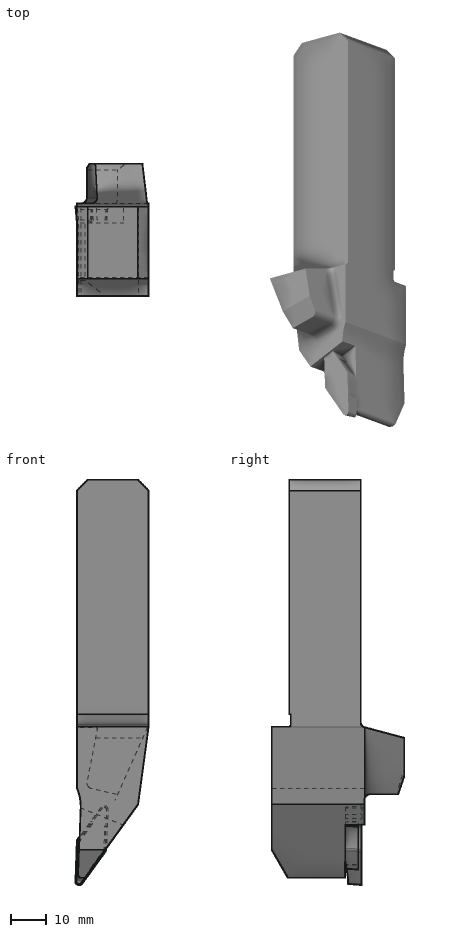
import cadquery as cq
import math


TOTAL_HEIGHT = 113.0
SHANK_SIDE = 20.0
SHANK_FRONT_Y = 4.9
SHANK_BACK_Y = SHANK_FRONT_Y + SHANK_SIDE
TOP_CHAMFER = 3.0
NECK_DEPTH = 0.5
NECK_TOP_Z = 47.6
NECK_FILLET = 0.5

HEAD_TOP_Z = 44.2
HEAD_BACK_Y = 25.9
SHOULDER_SLOPE = 15.0
SHOULDER_Z = 44.3
SHOULDER_FILLET = 1.2
FLANK_BEND_X = 17.1
FLANK_BEND_Z = 22.5
NOSE_ANGLE = 36.0
NOSE_BOTTOM_Z = 2.0
NOSE_ROUNDING = 0.9
UNDERCUT_TOP_Z = 27.0
UNDERCUT_BOTTOM_Z = 21.6
UNDERCUT_DEPTH = 1.0
NOSE_TILT = 2.0
FRONT_BEVEL_Z = 9.8
FRONT_BEVEL_ANGLE = 30.0

BOSS_BACK_Y = 37.0
BOSS_CORNER_X = 2.5
BOSS_CORNER_Z = 27.3
BOSS_LEFT_ANGLE = 11.0
BOSS_BOTTOM_ANGLE = 13.0
BOSS_RIGHT_ANGLE = 24.0
BOSS_RIGHT_TOP_X = 19.7
BOSS_ROUNDING = 1.6
BOSS_BASE_FILLET = 1.6
BOSS_BEVEL_DEPTH = 1.7
BOSS_BEVEL_HEIGHT = 5.4

SEAT_Y = 20.5
CEILING_SLOPE = 22.0
RAKE_Y = 25.1
TIP_RADIUS = 1.07
TIP_X = 0.62
INSERT_SIDE = 14.9
INSERT_DRAFT = 5.0
SIDE_CORNER_RADIUS = 1.2
RIM_THICKNESS = 0.9
RECESS_DEPTH = 0.3
RECESS_LENGTH = 12.7
TIP_RELIEF_DEPTH = 0.8
TIP_RELIEF_START_Z = 6.8


def tan(degrees):
    return math.tan(math.radians(degrees))


def direction(angle):
    """Upward XZ unit direction, leaning right of vertical by the angle."""
    return math.sin(math.radians(angle)), math.cos(math.radians(angle))


def shoulder_z(y):
    """Height of the sloping rear shoulder plane at depth y."""
    return SHOULDER_Z - (y - SHANK_BACK_Y) * tan(SHOULDER_SLOPE)


def extrude_y(outline, y_start, y_end):
    """Place an outline drawn in (x, z) between two depths."""
    return outline.extrude(-(y_end - y_start)).translate((0, y_start, 0))


def front_prism():
    """Shank, head and rounded nose outlined along Y, with the arc of the undercut."""
    nose_left_x = UNDERCUT_DEPTH - (UNDERCUT_BOTTOM_Z - NOSE_BOTTOM_Z) * tan(NOSE_TILT)
    nose_right_x = FLANK_BEND_X - (FLANK_BEND_Z - NOSE_BOTTOM_Z) * tan(NOSE_ANGLE)
    outline = (
        cq.Workplane("XZ")
        .moveTo(0, UNDERCUT_TOP_Z)
        .lineTo(0, TOTAL_HEIGHT - TOP_CHAMFER)
        .lineTo(TOP_CHAMFER, TOTAL_HEIGHT)
        .lineTo(SHANK_SIDE - TOP_CHAMFER, TOTAL_HEIGHT)
        .lineTo(SHANK_SIDE, TOTAL_HEIGHT - TOP_CHAMFER)
        .lineTo(SHANK_SIDE, HEAD_TOP_Z)
        .lineTo(FLANK_BEND_X, FLANK_BEND_Z)
        .lineTo(nose_right_x, NOSE_BOTTOM_Z)
        .lineTo(nose_left_x, NOSE_BOTTOM_Z)
        .lineTo(UNDERCUT_DEPTH, UNDERCUT_BOTTOM_Z)
        .tangentArcPoint((0, UNDERCUT_TOP_Z), relative=False)
        .close()
    )
    nose_corner = (nose_left_x, HEAD_BACK_Y / 2, NOSE_BOTTOM_Z)
    prism = extrude_y(outline, 0, HEAD_BACK_Y)
    return prism.edges(cq.NearestToPointSelector(nose_corner)).fillet(NOSE_ROUNDING)


def side_profile():
    """Outline along X with the neck groove, the front bevel and the rear shoulder."""
    neck_y = SHANK_FRONT_Y + NECK_DEPTH
    bevel_depth = FRONT_BEVEL_Z * tan(FRONT_BEVEL_ANGLE)
    return cq.Workplane("YZ").polyline([
        (0, FRONT_BEVEL_Z),
        (0, HEAD_TOP_Z),
        (neck_y, HEAD_TOP_Z),
        (neck_y, NECK_TOP_Z),
        (SHANK_FRONT_Y, NECK_TOP_Z),
        (SHANK_FRONT_Y, TOTAL_HEIGHT),
        (SHANK_BACK_Y, TOTAL_HEIGHT),
        (SHANK_BACK_Y, SHOULDER_Z),
        (HEAD_BACK_Y, shoulder_z(HEAD_BACK_Y)),
        (HEAD_BACK_Y, 0),
        (bevel_depth, 0),
    ]).close()


def shank_and_head():
    """Common volume of the front and side outlines, with the shank corners filleted."""
    side = side_profile().extrude(SHANK_SIDE)
    neck_corner = (SHANK_SIDE / 2, SHANK_FRONT_Y + NECK_DEPTH, HEAD_TOP_Z)
    side = side.edges(cq.NearestToPointSelector(neck_corner)).fillet(NECK_FILLET)
    shoulder_corner = (SHANK_SIDE / 2, SHANK_BACK_Y, SHOULDER_Z)
    side = side.edges(cq.NearestToPointSelector(shoulder_corner)).fillet(SHOULDER_FILLET)
    return side.intersect(front_prism())


def boss():
    """Wedge-shaped boss with a rounded lower left corner and a bevelled lower back edge."""
    top_z = SHOULDER_Z
    left_top_x = BOSS_CORNER_X + (top_z - BOSS_CORNER_Z) * tan(BOSS_LEFT_ANGLE)
    right_top_x = BOSS_RIGHT_TOP_X + (top_z - HEAD_TOP_Z) * tan(BOSS_RIGHT_ANGLE)
    width_at_corner = right_top_x - (top_z - BOSS_CORNER_Z) * tan(BOSS_RIGHT_ANGLE) - BOSS_CORNER_X
    bottom_run = width_at_corner / (1 + tan(BOSS_BOTTOM_ANGLE) * tan(BOSS_RIGHT_ANGLE))
    outline = cq.Workplane("XZ").polyline([
        (BOSS_CORNER_X, BOSS_CORNER_Z),
        (left_top_x, top_z),
        (right_top_x, top_z),
        (BOSS_CORNER_X + bottom_run, BOSS_CORNER_Z - bottom_run * tan(BOSS_BOTTOM_ANGLE)),
    ]).close()
    body = extrude_y(outline, SEAT_Y, BOSS_BACK_Y)
    corner = (BOSS_CORNER_X, (SEAT_Y + BOSS_BACK_Y) / 2, BOSS_CORNER_Z)
    body = body.edges(cq.NearestToPointSelector(corner)).fillet(BOSS_ROUNDING)

    above_shoulder = cq.Workplane("YZ").polyline([
        (SEAT_Y, shoulder_z(SEAT_Y)),
        (BOSS_BACK_Y, shoulder_z(BOSS_BACK_Y)),
        (BOSS_BACK_Y, TOTAL_HEIGHT),
        (SEAT_Y, TOTAL_HEIGHT),
    ]).close().extrude(SHANK_SIDE)

    rise, run = direction(BOSS_BOTTOM_ANGLE)
    along_bottom = cq.Plane(
        origin=(BOSS_CORNER_X, BOSS_BACK_Y, BOSS_CORNER_Z), xDir=(0, 1, 0), normal=(run, 0, -rise)
    )
    bevel = cq.Workplane(along_bottom).polyline([
        (-BOSS_BEVEL_DEPTH, 0),
        (0, BOSS_BEVEL_HEIGHT),
        (0, 0),
    ]).close().extrude(SHANK_SIDE, both=True)
    return body.cut(above_shoulder).cut(bevel)


def fillet_boss_base(holder):
    """Blend the left, rounded and bottom sides of the boss into the back of the head."""
    base_box = cq.selectors.BoxSelector(
        (UNDERCUT_DEPTH, SEAT_Y, UNDERCUT_BOTTOM_Z),
        (SHANK_SIDE / 2, HEAD_BACK_Y + BOSS_BASE_FILLET, HEAD_TOP_Z - BOSS_BASE_FILLET),
    )
    return holder.edges(base_box).fillet(BOSS_BASE_FILLET)


def seat_cutter():
    """Space behind the seat plane and below the clamping finger, open to the back."""
    start_z = UNDERCUT_BOTTOM_Z + UNDERCUT_DEPTH * tan(CEILING_SLOPE)
    end_z = start_z - SHANK_SIDE * tan(CEILING_SLOPE)
    outline = cq.Workplane("XZ").polyline([
        (0, 0),
        (0, start_z),
        (SHANK_SIDE, end_z),
        (SHANK_SIDE, 0),
    ]).close()
    return extrude_y(outline, SEAT_Y, HEAD_BACK_Y)


TIP_HALF_ANGLE = (NOSE_ANGLE - NOSE_TILT) / 2
AXIS_ANGLE = (NOSE_ANGLE + NOSE_TILT) / 2
HALF_LENGTH = INSERT_SIDE * math.cos(math.radians(TIP_HALF_ANGLE))
HALF_WIDTH = INSERT_SIDE * math.sin(math.radians(TIP_HALF_ANGLE))
TIP_TO_CENTRE = HALF_LENGTH - TIP_RADIUS / math.sin(math.radians(TIP_HALF_ANGLE))
AXIS_X, AXIS_Z = direction(AXIS_ANGLE)
INSERT_PLANE = cq.Plane(
    origin=(TIP_X + TIP_TO_CENTRE * AXIS_X, RAKE_Y, TIP_RADIUS + TIP_TO_CENTRE * AXIS_Z),
    xDir=(AXIS_X, 0, AXIS_Z),
    normal=(0, -1, 0),
)


def insert_blank(inset):
    """Drafted rhombus with round tips and side corners, its sides moved inward by the inset."""
    radius = TIP_RADIUS - inset
    half_width = HALF_WIDTH - inset / math.cos(math.radians(TIP_HALF_ANGLE))
    sine, cosine = direction(TIP_HALF_ANGLE)
    tangent_x = TIP_TO_CENTRE + radius * sine
    tangent_y = radius * cosine
    blank = (
        cq.Workplane(INSERT_PLANE)
        .moveTo(-tangent_x, -tangent_y)
        .lineTo(0, -half_width)
        .lineTo(tangent_x, -tangent_y)
        .threePointArc((TIP_TO_CENTRE + radius, 0), (tangent_x, tangent_y))
        .lineTo(0, half_width)
        .lineTo(-tangent_x, tangent_y)
        .threePointArc((-TIP_TO_CENTRE - radius, 0), (-tangent_x, -tangent_y))
        .close()
        .extrude(RAKE_Y - SEAT_Y, taper=INSERT_DRAFT)
    )
    for side in (-1, 1):
        corner = INSERT_PLANE.toWorldCoords((0, side * half_width, (RAKE_Y - SEAT_Y) / 2))
        blank = blank.edges(cq.NearestToPointSelector(corner)).fillet(SIDE_CORNER_RADIUS)
    return blank


def cutting_insert():
    """Double-ended insert with side recesses below its rim and a relieved lower tip."""
    recess = (
        cq.Workplane(INSERT_PLANE)
        .workplane(offset=RIM_THICKNESS)
        .rect(RECESS_LENGTH, 2 * INSERT_SIDE)
        .extrude(RAKE_Y - SEAT_Y)
        .cut(insert_blank(RECESS_DEPTH))
    )
    tip_relief = cq.Workplane("YZ").polyline([
        (SEAT_Y, TIP_RELIEF_START_Z),
        (SEAT_Y + TIP_RELIEF_DEPTH, NOSE_BOTTOM_Z),
        (SEAT_Y + TIP_RELIEF_DEPTH, 0),
        (SEAT_Y, 0),
    ]).close().extrude(SHANK_SIDE, both=True)
    return insert_blank(0).cut(recess).cut(tip_relief)


insert = cutting_insert()
holder = fillet_boss_base(shank_and_head().union(boss()))
holder = holder.cut(seat_cutter()).cut(insert)

result = cq.Compound.makeCompound([holder.val(), insert.val()])